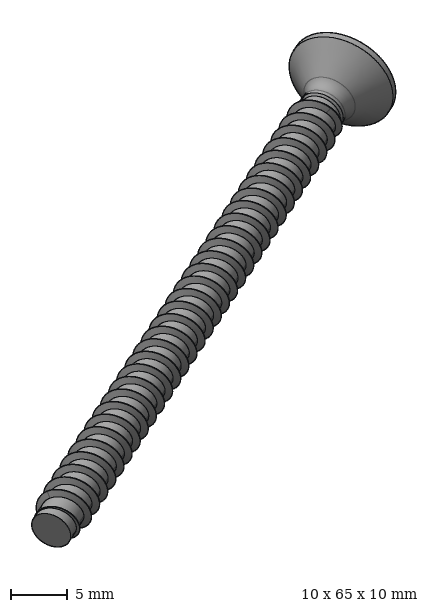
import cadquery as cq
import math

length = 65.0

head_radius = 5.0
rim_height = 0.65
cone_end_depth = 3.2
cone_half_angle = 45.0
cone_depth = cone_end_depth - rim_height
cone_end_radius = head_radius - cone_depth * math.tan(math.radians(cone_half_angle))

neck_radius = 2.1
neck_start_depth = 4.55
neck_end_depth = 4.95
core_radius = 1.9
neck_step_length = neck_radius - core_radius

crest_diameter = 5.0
crest_radius = crest_diameter / 2
crest_width = 0.05
base_width = 0.5
full_top_crests = 32
first_top_crest_depth = 6.45
last_top_crest_depth = 62.3
pitch = (last_top_crest_depth - first_top_crest_depth) / (full_top_crests - 1)
extra_full_turns = 0.1
taper_turns = 1.2
points_per_turn = 16

root_overlap = 0.1
end_burial = 0.03
thread_height = crest_radius - core_radius
flank_slope = (base_width - crest_width) / 2 / thread_height
buried_half_width = crest_width / 2 + flank_slope * (thread_height + root_overlap)
buried_radius = core_radius - root_overlap
taper_sink = thread_height + end_burial


def make_body():
    """Head, fillet, neck and plain core as one turned solid."""
    profile = (
        cq.Workplane("XY")
        .lineTo(head_radius, 0)
        .lineTo(head_radius, -rim_height)
        .lineTo(cone_end_radius, -cone_end_depth)
        .tangentArcPoint((neck_radius, -neck_start_depth), relative=False)
        .lineTo(neck_radius, -neck_end_depth)
        .lineTo(core_radius, -neck_end_depth - neck_step_length)
        .lineTo(core_radius, -length)
        .lineTo(0, -length)
        .close()
    )
    return profile.revolve(360, (0, 0, 0), (0, 1, 0)).val()


def helix_edge(start_turn, end_turn, start_radius, end_radius, shift):
    """Helical edge; turns count from the first full crest on the +Z side, shift is along the axis."""
    steps = math.ceil((end_turn - start_turn) * points_per_turn)
    points = []
    for i in range(steps + 1):
        fraction = i / steps
        turn = start_turn + fraction * (end_turn - start_turn)
        radius = start_radius + fraction * (end_radius - start_radius)
        angle = 2 * math.pi * turn
        depth = first_top_crest_depth + turn * pitch + shift
        points.append(cq.Vector(-radius * math.sin(angle), -depth, radius * math.cos(angle)))
    return cq.Edge.makeSpline(points)


def thread_stretch(start_turn, end_turn, start_sink, end_sink):
    """Ridge between two turns, lowered towards the axis by the given sink at each end."""
    corners = [
        (buried_radius, -buried_half_width),
        (crest_radius, -crest_width / 2),
        (crest_radius, crest_width / 2),
        (buried_radius, buried_half_width),
    ]
    edges = [
        helix_edge(start_turn, end_turn, radius - start_sink, radius - end_sink, shift)
        for radius, shift in corners
    ]
    sides = [cq.Face.makeRuledSurface(edges[i - 1], edges[i]) for i in range(len(edges))]
    caps = []
    for position in (0, 1):
        ends = [edge.positionAt(position) for edge in edges]
        caps.append(cq.Face.makeFromWires(cq.Wire.makePolygon(ends, close=True)))
    return cq.Solid.makeSolid(cq.Shell.makeShell(sides + caps)).fix()


full_start = -extra_full_turns
full_end = full_top_crests - 1 + extra_full_turns
lead_in = thread_stretch(full_start - taper_turns, full_start, taper_sink, 0)
full_thread = thread_stretch(full_start, full_end, 0, 0)
run_out = thread_stretch(full_end, full_end + taper_turns, 0, taper_sink)

screw = make_body().fuse(lead_in, full_thread, run_out)
result = cq.Workplane(screw.Solids()[0])